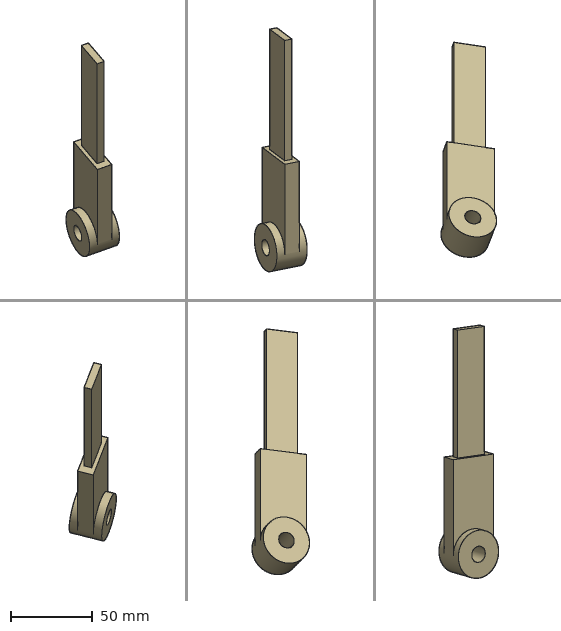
import cadquery as cq

total_height = 155.0
eye_diameter = 30.0
eye_length = 21.0
hole_diameter = 10.0

shank_width = eye_diameter
shank_thickness = 10.0
shank_top = 60.0

blade_width = 20.0
blade_thickness = 5.0
blade_height = total_height - eye_diameter / 2 - shank_top


def cylinder_along_y(diameter, length):
    """Cylinder about the Y axis, centred on the origin."""
    cylinder = cq.Workplane("XZ").circle(diameter / 2).extrude(length)
    return cylinder.translate((0, length / 2, 0))


def upright_plate(width, thickness, height, bottom):
    """Plate centred in X and Y, rising from the given Z level."""
    plate = cq.Workplane("XY").box(width, thickness, height, centered=(True, True, False))
    return plate.translate((0, 0, bottom))


eye = cylinder_along_y(eye_diameter, eye_length)
shank = upright_plate(shank_width, shank_thickness, shank_top, 0)
blade = upright_plate(blade_width, blade_thickness, blade_height, shank_top)
pin_hole = cylinder_along_y(hole_diameter, eye_length)

result = eye.union(shank).union(blade).cut(pin_hole)